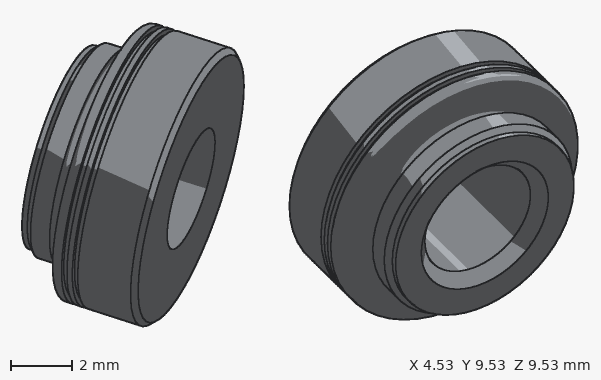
import cadquery as cq

total_length = 4.53
body_radius = 9.53 / 2
step = 0.19

body_length = 3.0
body_start = total_length - body_length
ring_groove_width = step
ring_groove_spacing = 2 * step
ring_groove_count = 2
first_ring_groove_start = body_start + 2 * step

tip_radius = 3.5
nose_radius = tip_radius + step
neck_radius = tip_radius - step
neck_width = 0.48
neck_start = body_start - neck_width

bore_radius = 2.07
countersink_radius = 2.49
countersink_depth = countersink_radius - bore_radius


def revolve_about_x(profile):
    return profile.close().revolve(360, (0, 0, 0), (1, 0, 0))


def make_nose():
    """Stepped nose: tip ledge, bevel up to the nose diameter."""
    return revolve_about_x(
        cq.Workplane("XY")
        .lineTo(0, tip_radius)
        .lineTo(step, tip_radius)
        .lineTo(2 * step, nose_radius)
        .lineTo(body_start, nose_radius)
        .lineTo(body_start, 0)
    )


def make_body():
    """Main cylinder with a rounded front edge and a chamfered back edge."""
    body = cq.Workplane("YZ", origin=(body_start, 0, 0)).circle(body_radius).extrude(body_length)
    return body.edges("<X").fillet(step).edges(">X").chamfer(step)


def make_neck_cutter():
    """Ring that cuts the undercut, with both bottom corners rounded."""
    ring = (
        cq.Workplane("YZ", origin=(neck_start, 0, 0))
        .circle(body_radius)
        .circle(neck_radius)
        .extrude(neck_width)
    )
    return ring.edges(cq.selectors.RadiusNthSelector(0)).fillet(step)


def make_ring_groove_cutter(start):
    """Square-bottomed ring that cuts one shallow groove around the body."""
    return (
        cq.Workplane("YZ", origin=(start, 0, 0))
        .circle(body_radius + step)
        .circle(body_radius - step)
        .extrude(ring_groove_width)
    )


def make_bore_cutter():
    """Through bore with a conical countersink at the nose tip."""
    return revolve_about_x(
        cq.Workplane("XY")
        .lineTo(0, countersink_radius)
        .lineTo(countersink_depth, bore_radius)
        .lineTo(total_length, bore_radius)
        .lineTo(total_length, 0)
    )


result = make_nose().union(make_body()).cut(make_neck_cutter())
for index in range(ring_groove_count):
    groove_start = first_ring_groove_start + index * ring_groove_spacing
    result = result.cut(make_ring_groove_cutter(groove_start))
result = result.cut(make_bore_cutter())